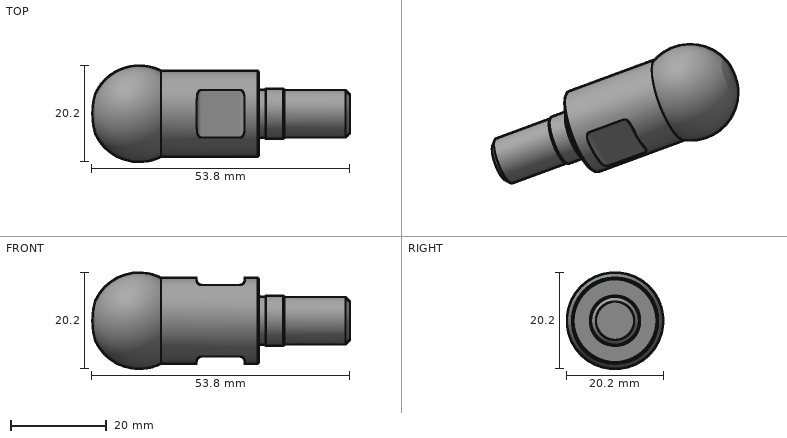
import cadquery as cq
import math

ball_radius = 10.1
crown_edge_radius = 4.1
tip_reach = 9.82

shank_radius = 9.0
shoulder_x = 25.0
shoulder_chamfer = 0.35

flat_start_x = 12.0
flat_length = 10.0
flat_across = 15.0
flat_corner_radius = 1.0

neck_radius = 10.1 / 2
neck_length = 1.4
neck_taper_length = 0.3
neck_taper_rise = 0.08
collar_radius = 10.5 / 2
collar_end_x = shoulder_x + 5.0
collar_lead_in = 0.1
collar_run_out = 0.35
stud_radius = 10.0 / 2
stud_end_x = 44.0
stud_chamfer = 1.0


def make_ball():
    crown_edge_x = -math.sqrt(ball_radius**2 - crown_edge_radius**2)
    crown_height = tip_reach + crown_edge_x
    crown_radius = (crown_edge_radius**2 + crown_height**2) / (2 * crown_height)
    crown_half_angle = math.asin(crown_edge_radius / crown_radius) / 2
    crown_mid_x = -tip_reach + crown_radius * (1 - math.cos(crown_half_angle))
    crown_mid_radius = crown_radius * math.sin(crown_half_angle)
    return (
        cq.Workplane("XY")
        .moveTo(-tip_reach, 0)
        .threePointArc((crown_mid_x, crown_mid_radius), (crown_edge_x, crown_edge_radius))
        .threePointArc((0, ball_radius), (ball_radius, 0))
        .close()
        .revolve(360, (0, 0, 0), (1, 0, 0))
    )


def make_shank_blank():
    """Turned shank and stud, with a spherical seat that fits the back of the ball."""
    seat_rim_x = math.sqrt(ball_radius**2 - shank_radius**2)
    seat_mid_angle = math.asin(shank_radius / ball_radius) / 2
    seat_mid = (ball_radius * math.cos(seat_mid_angle), ball_radius * math.sin(seat_mid_angle))
    neck_edge_radius = neck_radius + neck_taper_rise
    neck_end_x = shoulder_x + neck_length
    return (
        cq.Workplane("XY")
        .moveTo(ball_radius, 0)
        .threePointArc(seat_mid, (seat_rim_x, shank_radius))
        .lineTo(shoulder_x - shoulder_chamfer, shank_radius)
        .lineTo(shoulder_x, shank_radius - shoulder_chamfer)
        .lineTo(shoulder_x, neck_edge_radius)
        .lineTo(shoulder_x + neck_taper_length, neck_radius)
        .lineTo(neck_end_x - neck_taper_length, neck_radius)
        .lineTo(neck_end_x, neck_edge_radius)
        .lineTo(neck_end_x + collar_lead_in, collar_radius)
        .lineTo(collar_end_x, collar_radius)
        .lineTo(collar_end_x + collar_run_out, stud_radius)
        .lineTo(stud_end_x - stud_chamfer, stud_radius)
        .lineTo(stud_end_x, stud_radius - stud_chamfer)
        .lineTo(stud_end_x, 0)
        .close()
        .revolve(360, (0, 0, 0), (1, 0, 0))
    )


def make_flat_cutter(side):
    """Block that cuts one wrench flat; its inner corners are rounded along Y."""
    block_height = shank_radius
    return (
        cq.Workplane("XY")
        .box(flat_length, 2 * shank_radius, block_height)
        .edges("|Y")
        .edges("<Z" if side > 0 else ">Z")
        .fillet(flat_corner_radius)
        .translate((flat_start_x + flat_length / 2, 0, side * (flat_across + block_height) / 2))
    )


def make_shank():
    shank = make_shank_blank()
    for side in (1, -1):
        shank = shank.cut(make_flat_cutter(side))
    return shank


ball = make_ball()
shank = make_shank()
result = cq.Compound.makeCompound([ball.val(), shank.val()])